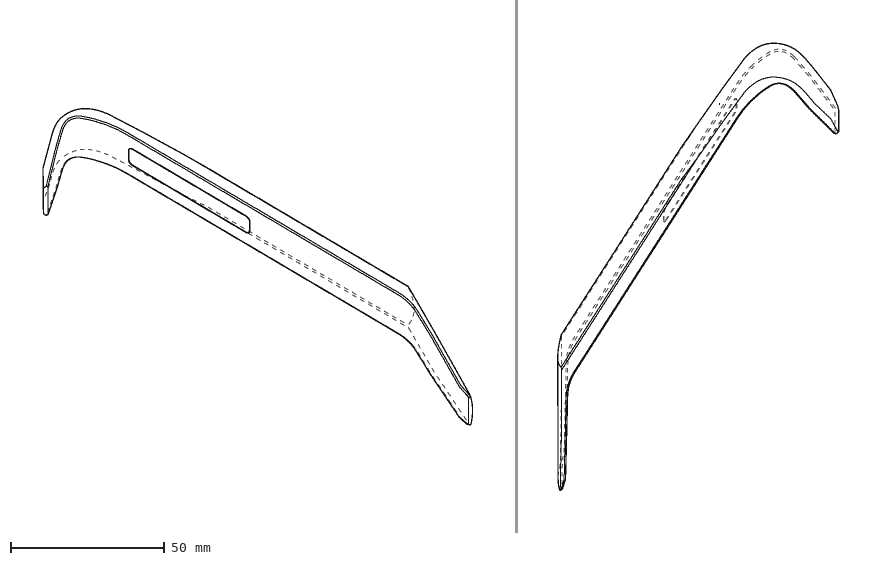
import cadquery as cq
import math


TOTAL_LENGTH = 177.48
TOTAL_DEPTH = 38.04
WIDTH = 20.5
HALF_WIDTH = WIDTH / 2
MARGIN = 5.0
TOUCH_TOLERANCE = 0.001
PARALLEL_LIMIT = 0.9

BAR_THICKNESS = 4.9
BAR_SLOPE = 5.25
EDGE_CHAMFER = 0.5
BAR_FRONT_START = (23.2, -5.05)
BAR_BACK_START_X = 27.0
BAR_FRONT_LENGTH = 111.6

HOOK_BACK_TOP = (17.0, -0.02)
HOOK_BACK_SHOULDER = (9.0, -0.6)
HOOK_BACK_CORNER = (3.5, -3.5)
HOOK_BACK_SIDE = (0.04, -11.2)
HOOK_BACK_BEND_END = (2.2, -20.7)
HOOK_TIP_SLOPE = 21.5
HOOK_FACET_START = (5.0, -27.8)
HOOK_TIP_BACK = (10.9, -36.6)
HOOK_TIP_INNER = (12.1, -35.8)
HOOK_INNER_BEND_END = (4.4, -15.0)
HOOK_INNER_SIDE = (3.7, -11.5)
HOOK_INNER_CORNER = (6.5, -7.2)
HOOK_INNER_SHOULDER = (11.0, -5.8)
HOOK_TAPER_START_Y = -22.5
HOOK_TIP_HALF_WIDTH = 7.6
HOOK_CORNER_RADIUS = 2.0

TAIL_FRONT_BEND_END = (144.0, -18.7)
TAIL_FACET_START = (171.9, -36.4)
TAIL_TIP_FRONT = (176.5, -TOTAL_DEPTH)
TAIL_TIP_BACK = (TOTAL_LENGTH, -37.1)
TAIL_BACK_SLOPE = 33.7
TAIL_TAPER_START_X = 153.0
TAIL_TIP_HALF_WIDTH = HOOK_TIP_HALF_WIDTH
TAIL_CORNER_RADIUS = 2.5

HOOK_CROWN_RADIUS = 47.0
TAIL_CROWN_RADIUS = 41.0
CROWN_FADE_SLOPE = 3.0
CROWN_FADE_END_X = 65.0
CROWN_OVERHANG = 1.0
CROWN_DEPTH = 8.0

LABEL_LENGTH = 50.0
LABEL_HEIGHT = 8.1
LABEL_RADIUS = 1.6
LABEL_DEPTH = 0.2
LABEL_OFFSET = 0.5

BAR_ANGLE = math.radians(BAR_SLOPE)
TAIL_ANGLE = math.radians(TAIL_BACK_SLOPE)
BAR_DIRECTION = (math.cos(BAR_ANGLE), -math.sin(BAR_ANGLE))
BAR_NORMAL = (math.sin(BAR_ANGLE), math.cos(BAR_ANGLE))


def bar_point(along, outward):
    """Point at a distance along the bar front and outward toward its back."""
    return (
        BAR_FRONT_START[0] + along * BAR_DIRECTION[0] + outward * BAR_NORMAL[0],
        BAR_FRONT_START[1] + along * BAR_DIRECTION[1] + outward * BAR_NORMAL[1],
    )


def bar_back_y(x):
    """Y of the bar back line at a given X."""
    corner = bar_point(0, BAR_THICKNESS)
    return corner[1] - (x - corner[0]) * math.tan(BAR_ANGLE)


BAR_BACK_START = (BAR_BACK_START_X, bar_back_y(BAR_BACK_START_X))
BAR_FRONT_END = bar_point(BAR_FRONT_LENGTH, 0)


def tail_back_corner():
    """Point where the bar back meets the tail back."""
    tail_y_at_zero = TAIL_TIP_BACK[1] + TAIL_TIP_BACK[0] * math.tan(TAIL_ANGLE)
    x = (tail_y_at_zero - bar_back_y(0)) / (math.tan(TAIL_ANGLE) - math.tan(BAR_ANGLE))
    return (x, bar_back_y(x))


TAIL_BACK_CORNER = tail_back_corner()


def front_path():
    """Front side of the tool at mid width, from the hook tip to the tail tip."""
    return (
        cq.Workplane("XY")
        .moveTo(*HOOK_TIP_INNER)
        .lineTo(*HOOK_INNER_BEND_END)
        .tangentArcPoint(HOOK_INNER_SIDE, relative=False)
        .tangentArcPoint(HOOK_INNER_CORNER, relative=False)
        .tangentArcPoint(HOOK_INNER_SHOULDER, relative=False)
        .tangentArcPoint(BAR_FRONT_START, relative=False)
        .lineTo(*BAR_FRONT_END)
        .tangentArcPoint(TAIL_FRONT_BEND_END, relative=False)
        .lineTo(*TAIL_FACET_START)
        .lineTo(*TAIL_TIP_FRONT)
    )


def bent_blank():
    """Full-width blank with the finished front; its hook back is left square for the crown."""
    facet_x = HOOK_TIP_BACK[0] - HOOK_FACET_START[0]
    facet_y = HOOK_TIP_BACK[1] - HOOK_FACET_START[1]
    facet_end_y = HOOK_TIP_BACK[1] - (HOOK_TIP_BACK[0] + MARGIN) * facet_y / facet_x
    outline = (
        front_path()
        .lineTo(*TAIL_TIP_BACK)
        .lineTo(*TAIL_BACK_CORNER)
        .lineTo(-MARGIN, bar_back_y(-MARGIN))
        .lineTo(-MARGIN, facet_end_y)
        .lineTo(*HOOK_TIP_BACK)
        .close()
    )
    blank = outline.extrude(HALF_WIDTH, both=True)
    bar_back = blank.faces(cq.selectors.ParallelDirSelector(cq.Vector(*BAR_NORMAL, 0))).faces(">Y")
    return bar_back.edges("not |Z").chamfer(EDGE_CHAMFER)


def tail_plan():
    """Front outline with the tapered, round-cornered tail end."""
    return (
        cq.Workplane("XZ", origin=(0, MARGIN, 0))
        .moveTo(-2 * MARGIN, -HALF_WIDTH)
        .lineTo(TAIL_TAPER_START_X, -HALF_WIDTH)
        .lineTo(TOTAL_LENGTH, -TAIL_TIP_HALF_WIDTH)
        .lineTo(TOTAL_LENGTH, TAIL_TIP_HALF_WIDTH)
        .lineTo(TAIL_TAPER_START_X, HALF_WIDTH)
        .lineTo(-2 * MARGIN, HALF_WIDTH)
        .close()
        .extrude(TOTAL_DEPTH + 2 * MARGIN)
        .edges("|Y and >X")
        .fillet(TAIL_CORNER_RADIUS)
    )


def rest_of_bar():
    """Block around everything beyond the hook end."""
    return (
        cq.Workplane("XY", origin=(CROWN_FADE_END_X, -TOTAL_DEPTH - MARGIN, 0))
        .box(TOTAL_LENGTH, TOTAL_DEPTH + 2 * MARGIN, WIDTH, centered=(False, False, True))
    )


def hook_plan():
    """End outline with the tapered, round-cornered hook tip."""
    return (
        cq.Workplane("YZ", origin=(-MARGIN, 0, 0))
        .moveTo(MARGIN, -HALF_WIDTH)
        .lineTo(HOOK_TAPER_START_Y, -HALF_WIDTH)
        .lineTo(HOOK_TIP_BACK[1], -HOOK_TIP_HALF_WIDTH)
        .lineTo(HOOK_TIP_BACK[1], HOOK_TIP_HALF_WIDTH)
        .lineTo(HOOK_TAPER_START_Y, HALF_WIDTH)
        .lineTo(MARGIN, HALF_WIDTH)
        .close()
        .extrude(CROWN_FADE_END_X + MARGIN)
        .edges("|X and <Y")
        .fillet(HOOK_CORNER_RADIUS)
    )


def crowned_section(plane, radius, depth):
    """Strip section whose outer side (local +X) is an arc, with its apex at the local origin."""
    half = HALF_WIDTH + CROWN_OVERHANG
    sagitta = radius - math.sqrt(radius**2 - half**2)
    return (
        cq.Workplane(plane)
        .moveTo(-depth, -half)
        .lineTo(-sagitta, -half)
        .threePointArc((0, 0), (-sagitta, half))
        .lineTo(-depth, half)
        .close()
    )


def hook_crown():
    """Crowned envelope that follows the hook back and fades out of the bar."""
    fade = math.radians(CROWN_FADE_SLOPE)
    start_x = CROWN_FADE_END_X + MARGIN
    start = (start_x, BAR_BACK_START[1] - (start_x - BAR_BACK_START_X) * math.tan(fade))
    end_y = -TOTAL_DEPTH - MARGIN
    tip_angle = math.radians(HOOK_TIP_SLOPE)
    end_x = HOOK_BACK_BEND_END[0] + (HOOK_BACK_BEND_END[1] - end_y) * math.tan(tip_angle)
    bend = [HOOK_BACK_TOP, HOOK_BACK_SHOULDER, HOOK_BACK_CORNER, HOOK_BACK_SIDE, HOOK_BACK_BEND_END]
    end_tangents = [(-math.cos(fade), math.sin(fade)), (math.sin(tip_angle), -math.cos(tip_angle))]
    path = (
        cq.Workplane("XY")
        .moveTo(*start)
        .lineTo(*BAR_BACK_START)
        .spline(bend, tangents=end_tangents, includeCurrent=True)
        .lineTo(end_x, end_y)
    )
    plane = cq.Plane(
        origin=(*start, 0),
        xDir=(math.sin(fade), math.cos(fade), 0),
        normal=(-math.cos(fade), math.sin(fade), 0),
    )
    section = crowned_section(plane, HOOK_CROWN_RADIUS, CROWN_DEPTH)
    return section.sweep(path)


def tail_crown():
    """Crowned envelope along the tail back, deep enough to hold the whole tool."""
    along = (math.cos(TAIL_ANGLE), -math.sin(TAIL_ANGLE), 0)
    reach = 2 * TOTAL_LENGTH
    start = (TAIL_TIP_BACK[0] + MARGIN * along[0], TAIL_TIP_BACK[1] + MARGIN * along[1], 0)
    plane = cq.Plane(
        origin=start,
        xDir=(math.sin(TAIL_ANGLE), math.cos(TAIL_ANGLE), 0),
        normal=(-along[0], -along[1], 0),
    )
    return crowned_section(plane, TAIL_CROWN_RADIUS, TOTAL_LENGTH).extrude(reach)


def is_front_edge(edge):
    """True for an edge that runs along the side of the front surface."""
    path = front_path().wire(forConstruction=False).val()
    middle = edge.positionAt(0.5)
    flat = cq.Vertex.makeVertex(middle.x, middle.y, 0)
    runs_along_z = abs(edge.tangentAt(0.5).z) > PARALLEL_LIMIT
    return path.distance(flat) < TOUCH_TOLERANCE and not runs_along_z


def label_recess():
    """Shallow rounded rectangle on the bar front."""
    center = bar_point(LABEL_OFFSET + LABEL_LENGTH / 2, 0)
    plane = cq.Plane(
        origin=(*center, 0),
        xDir=(*BAR_DIRECTION, 0),
        normal=(*BAR_NORMAL, 0),
    )
    return (
        cq.Workplane(plane)
        .rect(LABEL_LENGTH, LABEL_HEIGHT)
        .extrude(LABEL_DEPTH)
        .edges(cq.selectors.ParallelDirSelector(cq.Vector(*BAR_NORMAL, 0)))
        .fillet(LABEL_RADIUS)
    )


tapered = bent_blank().intersect(tail_plan()).intersect(hook_plan().union(rest_of_bar()))
front_chamfered = tapered.edges().filter(is_front_edge).chamfer(EDGE_CHAMFER)
crowned = front_chamfered.intersect(hook_crown().union(rest_of_bar())).intersect(tail_crown())
result = crowned.cut(label_recess())